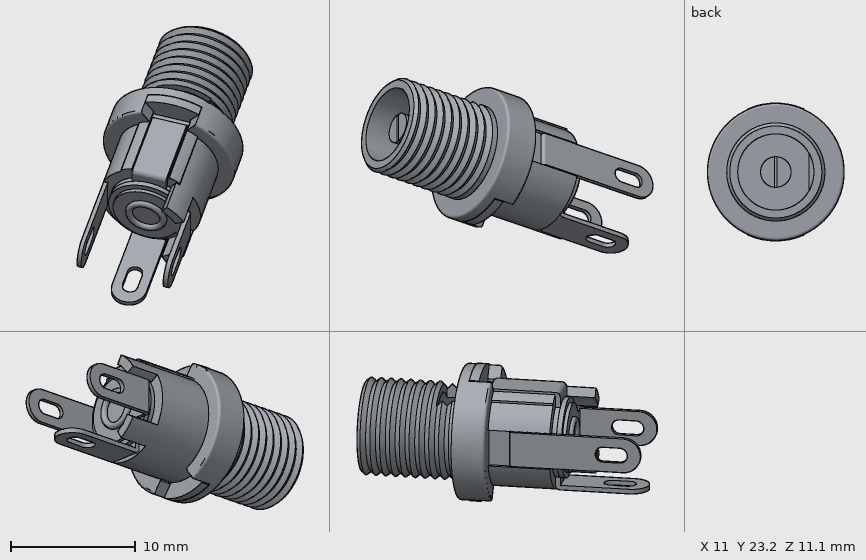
import cadquery as cq
import math


NOSE_LENGTH = 8.0
TAIL_LENGTH = 23.2 - NOSE_LENGTH

THREAD_RADIUS = 3.95
THREAD_DEPTH = 0.32
THREAD_TEETH = 9
THREAD_LENGTH = 7.22
THREAD_PITCH = THREAD_LENGTH / THREAD_TEETH
THREAD_RUNOUT = 0.49
BORE_RADIUS = 3.06
NOTCH_HALF_WIDTH = 2.27
NOTCH_LENGTH = 1.76

FLANGE_RADIUS = 5.5
FLANGE_THICKNESS = 2.75
FLANGE_FILLET = 0.2
RELIEF_FRONT = -0.9
RELIEF_INNER_HALF_WIDTH = 1.55
RELIEF_INNER_HEIGHT = 4.04
RELIEF_OUTER_HALF_WIDTH = 2.27
RELIEF_OUTER_HEIGHT = 5.0
KEY_RADIUS = 5.55
KEY_LENGTH = 0.81
KEY_CLEARANCE = 0.07
CUT_OVERSHOOT = 0.23

BARREL_RADIUS = 4.2
BARREL_REAR = -7.8
CHEEK_RADIUS = 4.35
CHEEK_HALF_WIDTH = 2.45
POST_INNER_RADIUS = 3.39
POST_LENGTH = 2.65
POST_START_ANGLE = 31.5
POST_END_ANGLE = 59.0
SIDE_RECESS_HALF_WIDTH = 1.5

LUG_WIDTH = 2.85
LUG_HALF_WIDTH = LUG_WIDTH / 2
LUG_TIP_FLAT = 0.002
LUG_HOLE_WIDTH = 1.25
LUG_HOLE_LENGTH = 2.62
LUG_HOLE_MARGIN = 1.07

SIDE_OUTER = 3.95
SIDE_THICKNESS = 0.35
SIDE_BEND_FRONT = -4.48
SIDE_BEND_RADIUS = 0.3
SIDE_LEG_END = 2.67

SLEEVE_PLATE_RADIUS = 3.27
SLEEVE_THICKNESS = 0.4
SLEEVE_LUG_OUTER = 4.01
STRAP_OUTER = 4.2
STRAP_FRONT = -2.18

WASHER_THICKNESS = 0.42

CENTRE_DISC_RADIUS = 2.8
CENTRE_DISC_THICKNESS = 0.3
CENTRE_LUG_OUTER = 3.67
CENTRE_LUG_THICKNESS = 0.4
PIN_RADIUS = 1.23
PIN_SETBACK = 1.0
PIN_SLIT_WIDTH = 0.19
RIVET_RADIUS = 1.72
RIVET_ROLL_RADIUS = 0.28
RIVET_HEIGHT = 0.35

FLANGE_REAR = -FLANGE_THICKNESS
KEY_REAR = RELIEF_FRONT - KEY_LENGTH
BORE_FLOOR = SIDE_BEND_FRONT - SIDE_THICKNESS
SLEEVE_REAR = BARREL_REAR - SLEEVE_THICKNESS
WASHER_REAR = SLEEVE_REAR - WASHER_THICKNESS
DISC_REAR = WASHER_REAR - CENTRE_DISC_THICKNESS
STRAP_FLOOR = STRAP_OUTER - SLEEVE_THICKNESS
SIDE_RECESS_FLOOR = SIDE_OUTER - SIDE_THICKNESS


def disc(radius, front, rear):
    """Cylinder around the socket axis, from y = front back to y = rear."""
    return cq.Workplane("XZ", origin=(0, front, 0)).circle(radius).extrude(front - rear)


def block(x_range, y_range, z_range):
    """Rectangular block between the given limits."""
    sizes = [high - low for low, high in (x_range, y_range, z_range)]
    corner = (x_range[0], y_range[0], z_range[0])
    return cq.Workplane("XY").box(*sizes, centered=False).translate(corner)




def threaded_nose():
    """Nose with ring-shaped thread teeth, turned around the socket axis."""
    half_pitch = THREAD_PITCH / 2
    root_radius = THREAD_RADIUS - THREAD_DEPTH
    last_crest = THREAD_RUNOUT + THREAD_LENGTH
    end_drop = THREAD_DEPTH * (NOSE_LENGTH - last_crest) / half_pitch
    outline = [(0, 0), (0, THREAD_RADIUS), (THREAD_RUNOUT, THREAD_RADIUS)]
    for tooth in range(THREAD_TEETH):
        root = THREAD_RUNOUT + tooth * THREAD_PITCH + half_pitch
        outline.append((root, root_radius))
        outline.append((root + half_pitch, THREAD_RADIUS))
    outline.append((NOSE_LENGTH, THREAD_RADIUS - end_drop))
    outline.append((NOSE_LENGTH, 0))
    return cq.Workplane("YZ").polyline(outline).close().revolve(360, (0, 0), (1, 0))


def relief_sector(clearance, front, rear):
    """Upward widening wedge from the barrel to beyond the flange rim, narrowed by clearance per side."""
    flare = (RELIEF_OUTER_HALF_WIDTH - RELIEF_INNER_HALF_WIDTH) / (RELIEF_OUTER_HEIGHT - RELIEF_INNER_HEIGHT)
    top = KEY_RADIUS + CUT_OVERSHOOT
    inner = RELIEF_INNER_HALF_WIDTH - clearance
    outer = inner + flare * (top - RELIEF_INNER_HEIGHT)
    outline = [(-inner, 0), (-inner, RELIEF_INNER_HEIGHT), (-outer, top)]
    outline += [(-x, z) for x, z in reversed(outline)]
    return cq.Workplane("XZ", origin=(0, front, 0)).polyline(outline).close().extrude(front - rear)


def flange():
    """Rounded flange whose two reliefs each hold a slightly proud key."""
    body = disc(FLANGE_RADIUS, 0, FLANGE_REAR).edges().fillet(FLANGE_FILLET)
    relief = relief_sector(0, RELIEF_FRONT, FLANGE_REAR).cut(disc(BARREL_RADIUS, 0, FLANGE_REAR))
    key = relief_sector(KEY_CLEARANCE, RELIEF_FRONT, KEY_REAR)
    key = key.intersect(disc(KEY_RADIUS, RELIEF_FRONT, KEY_REAR))
    for angle in (0, 180):
        body = body.cut(relief.rotate((0, 0, 0), (0, 1, 0), angle))
        body = body.union(key.rotate((0, 0, 0), (0, 1, 0), angle))
    return body


def barrel():
    """Round barrel with two thicker cheeks beside the strap."""
    cheeks = disc(CHEEK_RADIUS, 0, BARREL_REAR)
    cheeks = cheeks.intersect(
        block((-CHEEK_HALF_WIDTH, CHEEK_HALF_WIDTH), (BARREL_REAR, RELIEF_FRONT), (0, CHEEK_RADIUS))
    )
    return disc(BARREL_RADIUS, 0, BARREL_REAR).union(cheeks)


def post():
    """Ring sector that extends the barrel rim to the rear."""

    def at(radius, angle):
        return radius * math.cos(math.radians(angle)), radius * math.sin(math.radians(angle))

    middle = (POST_START_ANGLE + POST_END_ANGLE) / 2
    return (
        cq.Workplane("XZ", origin=(0, BARREL_REAR, 0))
        .moveTo(*at(POST_INNER_RADIUS, POST_START_ANGLE))
        .lineTo(*at(BARREL_RADIUS, POST_START_ANGLE))
        .threePointArc(at(BARREL_RADIUS, middle), at(BARREL_RADIUS, POST_END_ANGLE))
        .lineTo(*at(POST_INNER_RADIUS, POST_END_ANGLE))
        .threePointArc(at(POST_INNER_RADIUS, middle), at(POST_INNER_RADIUS, POST_START_ANGLE))
        .close()
        .extrude(POST_LENGTH)
    )


def make_housing(side_contact):
    """Moulded housing, with a fitting slot for the leg of the side contact."""
    body = threaded_nose().union(flange()).union(barrel())
    upper_post = post()
    body = body.union(upper_post).union(upper_post.mirror("XY"))
    bore = disc(BORE_RADIUS, NOSE_LENGTH, BORE_FLOOR)
    pin_hole = disc(PIN_RADIUS, BORE_FLOOR, BARREL_REAR)
    notch = block((-NOTCH_HALF_WIDTH, NOTCH_HALF_WIDTH), (0, NOTCH_LENGTH), (0, THREAD_RADIUS))
    strap_channel = block(
        (-RELIEF_INNER_HALF_WIDTH, RELIEF_INNER_HALF_WIDTH),
        (BARREL_REAR, KEY_REAR),
        (STRAP_FLOOR, CHEEK_RADIUS),
    )
    side_recess = block(
        (-BARREL_RADIUS, -SIDE_RECESS_FLOOR),
        (BARREL_REAR, FLANGE_REAR),
        (-SIDE_RECESS_HALF_WIDTH, SIDE_RECESS_HALF_WIDTH),
    )
    for opening in (bore, pin_hole, notch, strap_channel, side_recess, side_contact):
        body = body.cut(opening)
    return body




def bent_lug(outer, thickness, leg_front, leg_thickness, leg_end, bend_radius):
    """Sheet-metal lug at z = -outer, bent at its front into a leg that rises to z = -leg_end."""
    leg_rear = leg_front - leg_thickness
    diagonal = bend_radius * (1 - math.sqrt(0.5))
    side = (
        cq.Workplane("YZ", origin=(-LUG_HALF_WIDTH, 0, 0))
        .moveTo(leg_front, -leg_end)
        .lineTo(leg_front, bend_radius - outer)
        .threePointArc((leg_front - diagonal, diagonal - outer), (leg_front - bend_radius, -outer))
        .lineTo(-TAIL_LENGTH, -outer)
        .lineTo(-TAIL_LENGTH, thickness - outer)
        .lineTo(leg_rear, thickness - outer)
        .lineTo(leg_rear, -leg_end)
        .close()
        .extrude(LUG_WIDTH)
    )
    rounded = side.edges("|Z and <Y").fillet(LUG_HALF_WIDTH - LUG_TIP_FLAT)
    hole_centre = -TAIL_LENGTH + LUG_HOLE_MARGIN + LUG_HOLE_LENGTH / 2
    hole = (
        cq.Workplane("XY", origin=(0, hole_centre, -outer))
        .slot2D(LUG_HOLE_LENGTH, LUG_HOLE_WIDTH, 90)
        .extrude(thickness)
    )
    return rounded.cut(hole)


def make_side_contact():
    """Lug at -X whose leg reaches through the barrel wall into the bore."""
    lug = bent_lug(
        SIDE_OUTER, SIDE_THICKNESS, SIDE_BEND_FRONT, SIDE_THICKNESS, SIDE_LEG_END, SIDE_BEND_RADIUS
    )
    return lug.rotate((0, 0, 0), (0, 1, 0), 90)


def strap():
    """Arm that rises from the plate and folds forward over the barrel, rounded at both ends."""
    diagonal = SLEEVE_THICKNESS * (1 - math.sqrt(0.5))
    return (
        cq.Workplane("YZ", origin=(-LUG_HALF_WIDTH, 0, 0))
        .moveTo(SLEEVE_REAR, 0)
        .lineTo(SLEEVE_REAR, STRAP_FLOOR)
        .threePointArc((SLEEVE_REAR + diagonal, STRAP_OUTER - diagonal), (BARREL_REAR, STRAP_OUTER))
        .lineTo(STRAP_FRONT - SLEEVE_THICKNESS, STRAP_OUTER)
        .threePointArc((STRAP_FRONT - diagonal, STRAP_OUTER - diagonal), (STRAP_FRONT, STRAP_FLOOR))
        .lineTo(BARREL_REAR, STRAP_FLOOR)
        .lineTo(BARREL_REAR, 0)
        .close()
        .extrude(LUG_WIDTH)
    )


def make_sleeve_contact():
    """Round plate on the rear of the barrel, with a lug below and a strap above."""
    lug = bent_lug(SLEEVE_LUG_OUTER, SLEEVE_THICKNESS, BARREL_REAR, SLEEVE_THICKNESS, 0, SLEEVE_THICKNESS)
    plate = disc(SLEEVE_PLATE_RADIUS, BARREL_REAR, SLEEVE_REAR)
    return plate.union(lug).union(strap()).cut(disc(PIN_RADIUS, BARREL_REAR, SLEEVE_REAR))


def make_washer():
    """Insulating washer between the sleeve contact and the centre contact."""
    return disc(SLEEVE_PLATE_RADIUS, SLEEVE_REAR, WASHER_REAR).cut(disc(PIN_RADIUS, SLEEVE_REAR, WASHER_REAR))


def rivet_roll():
    """Rolled rim with a round crest around the rear end of the pin."""
    roll_centre = RIVET_RADIUS - RIVET_ROLL_RADIUS
    crest = DISC_REAR - RIVET_HEIGHT
    crest_start = crest + RIVET_ROLL_RADIUS
    return (
        cq.Workplane("YZ")
        .moveTo(DISC_REAR, RIVET_RADIUS)
        .lineTo(crest_start, RIVET_RADIUS)
        .threePointArc((crest, roll_centre), (crest_start, roll_centre - RIVET_ROLL_RADIUS))
        .lineTo(DISC_REAR, roll_centre - RIVET_ROLL_RADIUS)
        .close()
        .revolve(360, (0, 0), (1, 0))
    )


def split_pin():
    """Round pin whose part in front of the flange face is split by a narrow slit."""
    tip = NOSE_LENGTH - PIN_SETBACK
    half_slit = PIN_SLIT_WIDTH / 2
    slit = block((-half_slit, half_slit), (0, tip), (-PIN_RADIUS, PIN_RADIUS))
    return disc(PIN_RADIUS, tip, DISC_REAR).cut(slit)


def make_centre_contact():
    """Split centre pin with its rivet rim, disc and lug."""
    lug = bent_lug(
        CENTRE_LUG_OUTER, CENTRE_LUG_THICKNESS, WASHER_REAR, CENTRE_DISC_THICKNESS, 0, CENTRE_DISC_THICKNESS
    )
    lug = lug.rotate((0, 0, 0), (0, 1, 0), -90)
    plate = disc(CENTRE_DISC_RADIUS, WASHER_REAR, DISC_REAR)
    return plate.union(lug).union(split_pin()).union(rivet_roll())


side_contact = make_side_contact()
housing = make_housing(side_contact)
sleeve_contact = make_sleeve_contact()
washer = make_washer()
centre_contact = make_centre_contact()

bodies = (housing, side_contact, sleeve_contact, washer, centre_contact)
result = cq.Compound.makeCompound([body.val() for body in bodies])